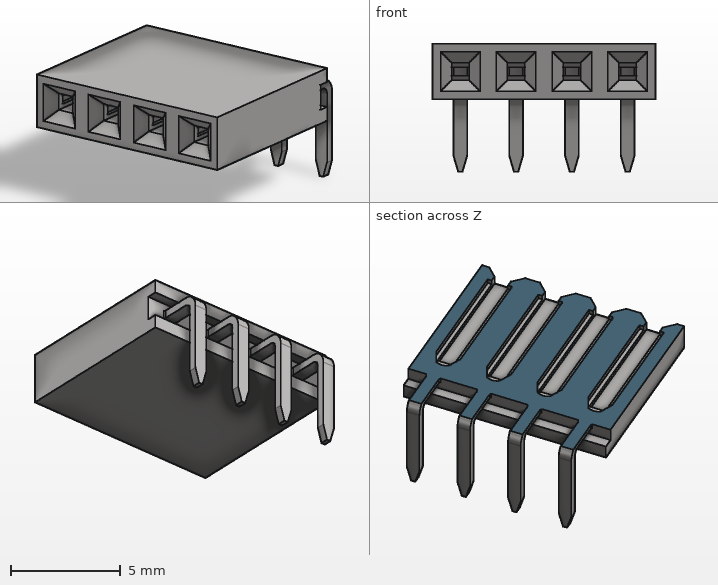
import cadquery as cq
import math


PIN_COUNT = 4
PITCH = 2.54
HOUSING_LENGTH = PIN_COUNT * PITCH
HOUSING_DEPTH = 8.5
HOUSING_HEIGHT = 2.54
CENTER_Z = HOUSING_HEIGHT / 2

GROOVE_DEPTH = 0.5
GROOVE_HEIGHT = 1.2
GROOVE_FLOOR_Y = HOUSING_DEPTH - GROOVE_DEPTH

FUNNEL_MOUTH = 1.8
HOLE_SIZE = 0.8
FUNNEL_DEPTH = (FUNNEL_MOUTH - HOLE_SIZE) / 2
HOLE_END_Y = 6.7

CONTACT_THICKNESS = 0.4
TAIL_WIDTH = 0.64
TAIL_OVERHANG = 1.7
TAIL_DROP = 3.3
BEND_INNER_RADIUS = 0.3
BEND_OUTER_RADIUS = BEND_INNER_RADIUS + CONTACT_THICKNESS
TIP_WIDTH = 0.2
TIP_LENGTH = 0.75
FLARE_ANGLE = math.radians(25)

SHOULDER_EXPOSED = 0.09
SHOULDER_LENGTH = 0.4

GAP_START_Y = 0.82
GAP_WIDTH = 1.2
GAP_ROOT_WIDTH = 0.62
GAP_ROOT_Y = 7.0
GAP_ROOT_SAG = 0.1


def make_housing():
    block = cq.Workplane("XY").box(
        HOUSING_LENGTH, HOUSING_DEPTH, HOUSING_HEIGHT, centered=(True, False, False)
    )
    groove = (
        cq.Workplane("XY")
        .box(HOUSING_LENGTH, GROOVE_DEPTH, GROOVE_HEIGHT, centered=(True, False, True))
        .translate((0, GROOVE_FLOOR_Y, CENTER_Z))
    )
    return block.cut(groove)


def extrude_contact_outline(outline):
    """Extrude an XY outline to the contact thickness, centered on the housing height."""
    return outline.extrude(CONTACT_THICKNESS / 2, both=True).translate((0, 0, CENTER_Z))


def make_socket_cavity(x):
    funnel = (
        cq.Workplane("XZ")
        .rect(FUNNEL_MOUTH, FUNNEL_MOUTH)
        .workplane(offset=-FUNNEL_DEPTH)
        .rect(HOLE_SIZE, HOLE_SIZE)
        .loft(ruled=True)
    )
    hole = (
        cq.Workplane("XY")
        .box(HOLE_SIZE, HOLE_END_Y - FUNNEL_DEPTH, HOLE_SIZE, centered=(True, False, True))
        .translate((0, FUNNEL_DEPTH, 0))
    )
    return funnel.union(hole).translate((x, 0, CENTER_Z))


def make_prong_gap(x):
    half_gap = GAP_WIDTH / 2
    half_root = GAP_ROOT_WIDTH / 2
    flare_start_y = GAP_ROOT_Y - (half_gap - half_root) / math.tan(FLARE_ANGLE)
    outline = (
        cq.Workplane("XY")
        .moveTo(-half_gap, GAP_START_Y)
        .lineTo(half_gap, GAP_START_Y)
        .lineTo(half_gap, flare_start_y)
        .lineTo(half_root, GAP_ROOT_Y)
        .threePointArc((0, GAP_ROOT_Y + GAP_ROOT_SAG), (-half_root, GAP_ROOT_Y))
        .lineTo(-half_gap, flare_start_y)
        .close()
    )
    return extrude_contact_outline(outline).translate((x, 0, 0))


def make_shoulder(x):
    rear_y = GROOVE_FLOOR_Y + SHOULDER_EXPOSED
    front_y = rear_y - SHOULDER_LENGTH
    half_rear = TAIL_WIDTH / 2
    half_front = half_rear + SHOULDER_LENGTH * math.tan(FLARE_ANGLE)
    outline = cq.Workplane("XY").polyline(
        [(-half_rear, rear_y), (half_rear, rear_y), (half_front, front_y), (-half_front, front_y)]
    ).close()
    return extrude_contact_outline(outline).translate((x, 0, 0))


def make_tail(x):
    """L-shaped tail with a rounded bend and a tip tapered in X."""
    top_z = CENTER_Z + CONTACT_THICKNESS / 2
    under_z = top_z - CONTACT_THICKNESS
    rear_y = HOUSING_DEPTH + TAIL_OVERHANG
    inner_y = rear_y - CONTACT_THICKNESS
    bend_y = rear_y - BEND_OUTER_RADIUS
    bend_z = top_z - BEND_OUTER_RADIUS
    start_y = GROOVE_FLOOR_Y + SHOULDER_EXPOSED - SHOULDER_LENGTH
    diagonal = math.sqrt(0.5)
    outer_mid = (bend_y + BEND_OUTER_RADIUS * diagonal, bend_z + BEND_OUTER_RADIUS * diagonal)
    inner_mid = (bend_y + BEND_INNER_RADIUS * diagonal, bend_z + BEND_INNER_RADIUS * diagonal)
    strip = (
        cq.Workplane("YZ")
        .moveTo(start_y, top_z)
        .lineTo(bend_y, top_z)
        .threePointArc(outer_mid, (rear_y, bend_z))
        .lineTo(rear_y, -TAIL_DROP)
        .lineTo(inner_y, -TAIL_DROP)
        .lineTo(inner_y, bend_z)
        .threePointArc(inner_mid, (bend_y, under_z))
        .lineTo(start_y, under_z)
        .close()
        .extrude(TAIL_WIDTH / 2, both=True)
    )
    half_width = TAIL_WIDTH / 2
    half_tip = TIP_WIDTH / 2
    taper_z = TIP_LENGTH - TAIL_DROP
    front_outline = (
        cq.Workplane("XZ")
        .polyline([
            (-half_tip, -TAIL_DROP),
            (half_tip, -TAIL_DROP),
            (half_width, taper_z),
            (half_width, top_z),
            (-half_width, top_z),
            (-half_width, taper_z),
        ])
        .close()
        .extrude(-rear_y)
    )
    return strip.intersect(front_outline).translate((x, 0, 0))


result = make_housing()
for index in range(PIN_COUNT):
    pin_x = (index - (PIN_COUNT - 1) / 2) * PITCH
    result = result.cut(make_socket_cavity(pin_x)).cut(make_prong_gap(pin_x))
    result = result.union(make_shoulder(pin_x)).union(make_tail(pin_x))